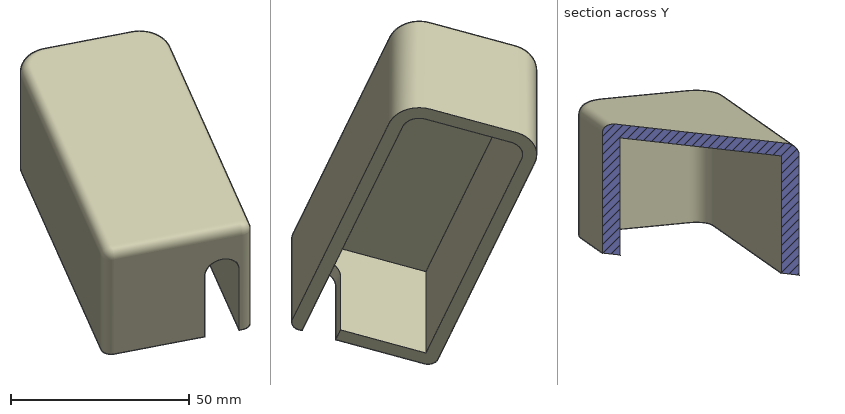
import cadquery as cq

length = 91.0
width = 43.5
height = 38.0
wall = 4.0
turn_angle = -46.3

back_corner_radius = 9.0
edge_radius = 3.0

slot_width = 10.0
slot_top = 27.5

slot_radius = slot_width / 2
slot_spring_height = slot_top - slot_radius
cavity_length = length - 2 * wall
cavity_width = width - 2 * wall
cavity_height = height - wall


def make_body():
    body = cq.Workplane("XY").box(length, width, height, centered=(True, True, False))
    body = body.edges("|Z and <X").fillet(back_corner_radius)
    body = body.edges("|Z and >X").fillet(edge_radius)
    return body.faces(">Z").edges().fillet(edge_radius)


def make_cavity():
    cavity = cq.Workplane("XY").box(
        cavity_length, cavity_width, cavity_height, centered=(True, True, False)
    )
    return cavity.edges("|Z and <X").fillet(back_corner_radius - wall)


def make_slot():
    flank_outer = cavity_width / 2
    flank_inner = flank_outer - slot_width
    slot_center = flank_outer - slot_radius
    return (
        cq.Workplane("YZ", origin=(cavity_length / 2, 0, 0))
        .moveTo(flank_inner, 0)
        .lineTo(flank_outer, 0)
        .lineTo(flank_outer, slot_spring_height)
        .threePointArc((slot_center, slot_top), (flank_inner, slot_spring_height))
        .close()
        .extrude(wall)
    )


cover = make_body().cut(make_cavity().union(make_slot()))
result = cover.rotate((0, 0, 0), (0, 0, 1), turn_angle)